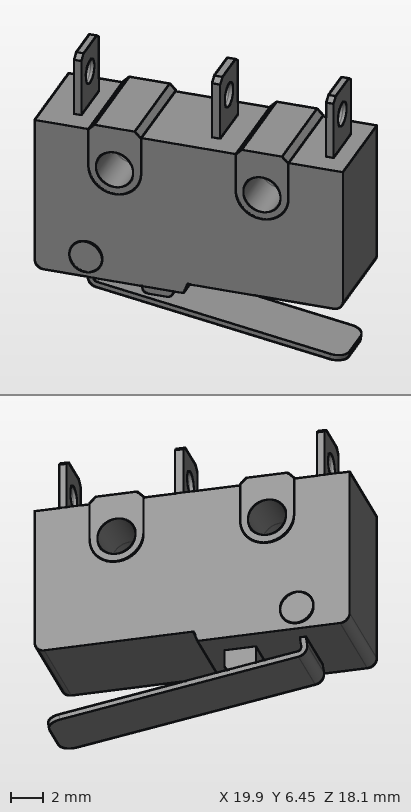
import cadquery as cq


length = 19.89
depth = 6.27
deep_bottom = -10.28
shallow_bottom = -9.6
step_start = 9.6
step_end = 9.87
corner_radius = 0.6

overall_depth = 6.45
pad_spacing = 9.5
pad_centers = [(length - pad_spacing) / 2, (length + pad_spacing) / 2]
pad_width = 3.4
pad_rise = 0.42
pad_chamfer = 0.4
hole_z = -2.47
hole_diameter = 2.4
boss_x = 3.32
boss_z = -8.87
boss_diameter = 2.1

terminals = [(2.25, 0.48), (11.18, 0.54), (18.52, 0.48)]
terminal_height = 4.08
terminal_width = 3.25
terminal_chamfer_y = 0.42
terminal_chamfer_z = 0.32
terminal_hole_z = 2.2
terminal_hole_diameter = 1.55

plunger_x = 7.35
plunger_width = 1.99
plunger_depth = 2.98
plunger_bottom = -11.7
plunger_radius = 0.4

lever_tip_x = 19.53
lever_tip_z = -13.98
lever_tilt = 8.5
lever_length = 16.8
lever_width = 3.88
lever_thickness = 0.38
lever_upstand = 1.8
bend_outer_radius = 0.65
bend_inner_radius = bend_outer_radius - lever_thickness
tip_corner_radius = 0.91

embed = 0.2


def extrude_across(outline, width):
    """Extrude an XZ outline by the given width, centred on Y = 0."""
    return outline.extrude(width / 2, both=True)


def xz_plane():
    return cq.Workplane("XZ")


def make_housing():
    outline = xz_plane().polyline([
        (0, 0),
        (length, 0),
        (length, shallow_bottom),
        (step_end, shallow_bottom),
        (step_start, deep_bottom),
        (0, deep_bottom),
    ]).close()
    block = extrude_across(outline, depth)
    block = block.faces("<X").edges("<Z").fillet(corner_radius)
    right_corner = cq.selectors.NearestToPointSelector((length, 0, shallow_bottom))
    return block.edges("|Y").edges(right_corner).fillet(corner_radius)


def make_pad(x):
    half = pad_width / 2
    outline = (
        xz_plane()
        .moveTo(x - half, hole_z)
        .lineTo(x - half, pad_rise - pad_chamfer)
        .lineTo(x - half + pad_chamfer, pad_rise)
        .lineTo(x + half - pad_chamfer, pad_rise)
        .lineTo(x + half, pad_rise - pad_chamfer)
        .lineTo(x + half, hole_z)
        .threePointArc((x, hole_z - half), (x - half, hole_z))
        .close()
    )
    return extrude_across(outline, overall_depth)


def make_terminal(x, thickness):
    half = terminal_width / 2
    shoulder_z = terminal_height - terminal_chamfer_z
    top_half = half - terminal_chamfer_y
    blade = cq.Workplane("YZ", origin=(x, 0, 0)).polyline([
        (-half, -embed),
        (half, -embed),
        (half, shoulder_z),
        (top_half, terminal_height),
        (-top_half, terminal_height),
        (-half, shoulder_z),
    ]).close().extrude(thickness / 2, both=True)
    hole = (
        cq.Workplane("YZ", origin=(x, 0, 0))
        .center(0, terminal_hole_z)
        .circle(terminal_hole_diameter / 2)
        .extrude(thickness, both=True)
    )
    return blade.cut(hole)


def make_plunger():
    top = deep_bottom + embed
    height = top - plunger_bottom
    block = cq.Workplane("XY").box(plunger_width, plunger_depth, height)
    block = block.edges("|Y and <Z").fillet(plunger_radius)
    return block.translate((plunger_x, 0, (top + plunger_bottom) / 2))


def make_lever():
    outline = xz_plane().polyline([
        (0, 0),
        (0, lever_thickness),
        (lever_thickness - lever_length, lever_thickness),
        (lever_thickness - lever_length, lever_upstand),
        (-lever_length, lever_upstand),
        (-lever_length, 0),
    ]).close()
    strip = extrude_across(outline, lever_width)
    strip = strip.faces("<X").edges("<Z").fillet(bend_outer_radius)
    inner_bend = cq.selectors.NearestToPointSelector(
        (lever_thickness - lever_length, 0, lever_thickness)
    )
    strip = strip.edges("|Y").edges(inner_bend).fillet(bend_inner_radius)
    strip = strip.faces(">X").edges("|Z").fillet(tip_corner_radius)
    strip = strip.rotate((0, 0, 0), (0, 1, 0), lever_tilt)
    return strip.translate((lever_tip_x, 0, lever_tip_z))


def make_cylinder(x, z, diameter):
    """Cylinder along Y that reaches the faces of the pads."""
    circle = xz_plane().center(x, z).circle(diameter / 2)
    return extrude_across(circle, overall_depth)


result = make_housing()
for pad_x in pad_centers:
    result = result.union(make_pad(pad_x))
result = result.union(make_cylinder(boss_x, boss_z, boss_diameter))
for pad_x in pad_centers:
    result = result.cut(make_cylinder(pad_x, hole_z, hole_diameter))
for terminal_x, terminal_thickness in terminals:
    result = result.union(make_terminal(terminal_x, terminal_thickness))
result = result.union(make_plunger())
result = result.union(make_lever())